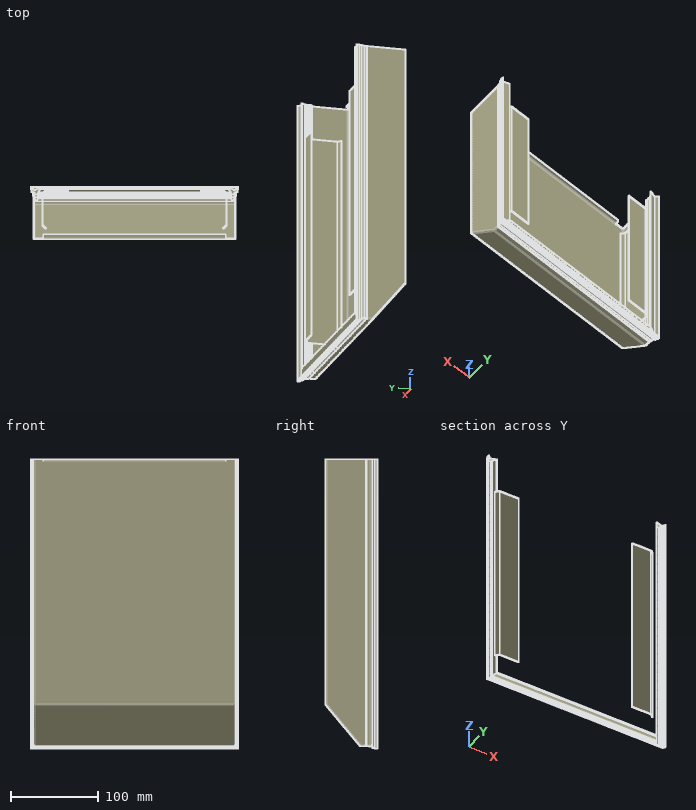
import cadquery as cq
import math

WIDTH = 238.5
DEPTH = 60.5
HEIGHT = 332.7
SEAL_OVERHANG = 3.0

SHEET = 1.0
BEND_RADIUS = 1.83
COVER_BACK = 24.0
SLOPE_TOP = -115.5
SLOPE_BACK = 9.5

FLANGE_WIDTH = 210.0
FLANGE_DEPTH = 6.0
FLANGE_CHAMFER = 1.3

FLAP_BACK = (-2.3, DEPTH / 2)
FLAP_LIP_VALLEY = (1.0, 26.3)
LIP_BACK = (9.0, 29.0)
LIP_FRONT = (8.5, 27.3)
LIP_ROOT = (5.5, 23.5)
LIP_RADIUS = 10.0
SKIN = 0.3
SKIN_FRONT = 17.5
SKIN_TAPER = 21.0
FLAP_STEP = 2.0
FLAP_FRONT = 27.0
FLAP_BEVEL = 29.3
LEG_MIDDLE = 3.3
LEG_CORE = 2.0
LEG_TOP = 23.0
BARB_YS = (19.5, 16.3)
BARB_RISE = 1.5
LEG_TIP = 13.5
BARB_REACH = LEG_MIDDLE - SHEET

BRACKET_X = 106.0
BRACKET_SHEET = 1.0
BRACKET_TOP = 123.0
BRACKET_FRONT = -18.3
BRACKET_BACK = 26.3
BRACKET_BEND = 4.0
BRACKET_ANGLE = 45
WING_END_X = 76.2

FRONT = -DEPTH / 2
TOP = HEIGHT / 2
COVER_HALF = WIDTH / 2 - SEAL_OVERHANG
COVER_FLOOR = -HEIGHT / 2 + SEAL_OVERHANG


def make_cover_block(inset, radius):
    """Solid outline of the cover, moved inward by inset, with round bends."""
    slope_run = SLOPE_BACK - FRONT
    slope_drop = SLOPE_TOP - COVER_FLOOR
    slope_angle = math.atan2(slope_drop, slope_run)
    front = FRONT + inset
    floor = COVER_FLOOR + inset
    slope_top = SLOPE_TOP + inset * math.tan(math.pi / 4 - slope_angle / 2)
    slope_back = SLOPE_BACK + inset * math.tan(slope_angle / 2)
    half = COVER_HALF - inset
    outline = [
        (COVER_BACK, TOP),
        (front, TOP),
        (front, slope_top),
        (slope_back, floor),
        (COVER_BACK, floor),
    ]
    block = cq.Workplane("YZ").polyline(outline).close().extrude(half, both=True)
    block = block.edges("|X").edges("not(>Z or >Y)").fillet(radius)
    return block.faces("<X or >X").edges("not(>Z or >Y)").fillet(radius)


def make_flange():
    """Flange bent back from the top edge of the front wall."""
    half = FLANGE_WIDTH / 2
    inner_radius = BEND_RADIUS - SHEET
    bar = (
        cq.Workplane("YZ")
        .moveTo(FRONT, TOP - BEND_RADIUS)
        .radiusArc((FRONT + BEND_RADIUS, TOP), BEND_RADIUS)
        .lineTo(FRONT + FLANGE_DEPTH, TOP)
        .lineTo(FRONT + FLANGE_DEPTH, TOP - SHEET)
        .lineTo(FRONT + BEND_RADIUS, TOP - SHEET)
        .radiusArc((FRONT + SHEET, TOP - BEND_RADIUS), -inner_radius)
        .close()
        .extrude(half, both=True)
    )
    return bar.edges("|Z and >Y").chamfer(FLANGE_CHAMFER)


def make_cover():
    """Thin bent box, open at the top and the back, with a flange along its top front edge."""
    shell = make_cover_block(0, BEND_RADIUS).cut(make_cover_block(SHEET, BEND_RADIUS - SHEET))
    flange_gap = cq.Workplane("XY").box(FLANGE_WIDTH, 2 * BEND_RADIUS, 2 * BEND_RADIUS)
    shell = shell.cut(flange_gap.translate((0, FRONT, TOP)))
    return shell.union(make_flange())


def seal_profile():
    """Closed seal section at the top of the left side wall."""
    barb = LEG_MIDDLE + BARB_REACH
    core = LEG_MIDDLE + LEG_CORE / 2
    flap_and_lip = [(-SEAL_OVERHANG, FLAP_BEVEL), FLAP_BACK, FLAP_LIP_VALLEY, LIP_BACK, LIP_FRONT]
    leg_inside = [(barb, LEG_TOP)]
    for y in BARB_YS:
        leg_inside += [(core, y + BARB_RISE), (barb, y)]
    leg_outside = [(2 * LEG_MIDDLE - inward, y) for inward, y in reversed(leg_inside)]
    skin_and_step = [
        (0, LEG_TOP),
        (0, SKIN_FRONT),
        (-SKIN, SKIN_TAPER),
        (-SKIN, COVER_BACK),
        (-FLAP_STEP, COVER_BACK),
        (-FLAP_STEP, FLAP_FRONT),
    ]

    def place(point):
        return (point[0] - COVER_HALF, point[1])

    section = cq.Workplane("XY").workplane(offset=TOP).moveTo(*place((-SEAL_OVERHANG, FLAP_FRONT)))
    for point in flap_and_lip:
        section = section.lineTo(*place(point))
    section = section.radiusArc(place(LIP_ROOT), -LIP_RADIUS)
    for point in [*leg_inside, (LEG_MIDDLE, LEG_TIP), *leg_outside, *skin_and_step]:
        section = section.lineTo(*place(point))
    return section.close()


def make_seal(cover):
    """Barbed strip along the rear edge of the cover, down both sides and across the floor."""
    path = cq.Workplane("XZ").polyline([
        (-COVER_HALF, TOP),
        (-COVER_HALF, COVER_FLOOR),
        (COVER_HALF, COVER_FLOOR),
        (COVER_HALF, TOP),
    ])
    return seal_profile().sweep(path, transition="right").cut(cover)


def make_bracket(side):
    """Bent sheet bracket, slanted at both ends of its wall; side is -1 for left, 1 for right."""
    bend_x = BRACKET_X - BRACKET_BEND
    bend_front = BRACKET_FRONT + BRACKET_BEND
    bend_back = BRACKET_BACK - BRACKET_BEND
    inner_x = BRACKET_X - BRACKET_SHEET
    inner_back = BRACKET_BACK - BRACKET_SHEET
    bend_shift = BRACKET_SHEET * math.tan(math.radians(BRACKET_ANGLE / 2))
    tip_shift = BRACKET_SHEET * math.sin(math.radians(BRACKET_ANGLE))
    outline = [
        (bend_x, BRACKET_FRONT),
        (BRACKET_X, bend_front),
        (BRACKET_X, bend_back),
        (bend_x, BRACKET_BACK),
        (WING_END_X, BRACKET_BACK),
        (WING_END_X, inner_back),
        (bend_x - bend_shift, inner_back),
        (inner_x, bend_back - bend_shift),
        (inner_x, bend_front + bend_shift),
        (bend_x - tip_shift, BRACKET_FRONT + tip_shift),
    ]
    points = [(side * x, y) for x, y in outline]
    return cq.Workplane("XY").polyline(points).close().extrude(BRACKET_TOP, both=True)


cover = make_cover()
seal = make_seal(cover)
brackets = [make_bracket(side) for side in (-1, 1)]

result = cq.Compound.makeCompound([cover.val(), seal.val(), *[bracket.val() for bracket in brackets]])